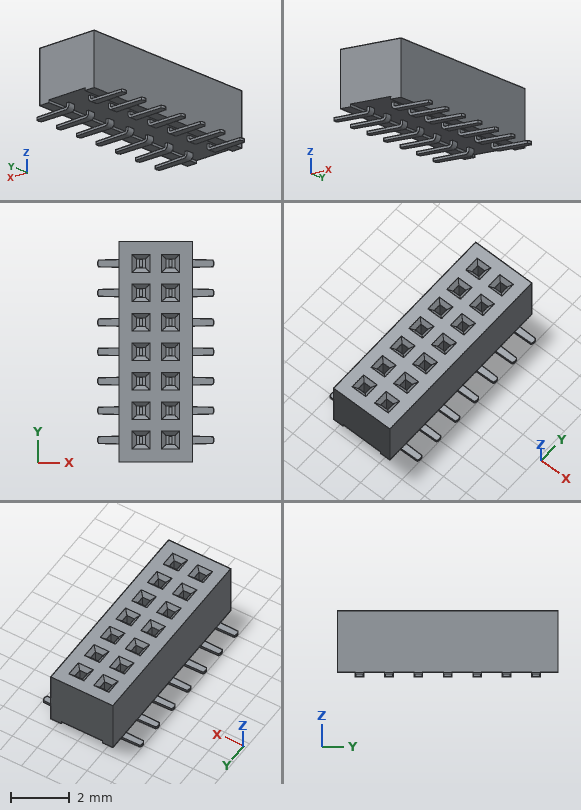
import cadquery as cq
import math

BODY_LENGTH = 7.5
ROW_COUNT = 7
END_MARGIN = 0.75
PITCH = (BODY_LENGTH - 2 * END_MARGIN) / (ROW_COUNT - 1)

TOP_Z = 2.25
BODY_WIDTH = 2.5
BODY_BOTTOM_Z = 0.15
RECESS_WIDTH = 1.65
RECESS_DEPTH = 0.1

SOCKET_MOUTH = 0.6
WELL_SIZE = 0.3
FUNNEL_DEPTH = 0.15
WELL_FLOOR_Z = 1.125
GROOVE_WIDTH = 0.11
GROOVE_LENGTH = 0.255
GROOVE_DEPTH = 0.04

LEG_SPAN = 3.95
LEG_THICKNESS = 0.1
LEG_ROOT_WIDTH = 0.3
LEG_TIP_WIDTH = 0.24
LEG_TIP_BULGE = 0.04
BEND_RADIUS = 0.15
LEG_EMBED = 0.075

RECESS_Z = BODY_BOTTOM_Z + RECESS_DEPTH
COLUMN_X = PITCH / 2
ROW_YS = [(i - (ROW_COUNT - 1) / 2) * PITCH for i in range(ROW_COUNT)]


def box(width, length, bottom_z, top_z):
    """Block centred on the Z axis between two heights."""
    return cq.Workplane("XY").workplane(offset=bottom_z).rect(width, length).extrude(top_z - bottom_z)


def make_housing():
    """Block with a channel along its underside, leaving two long feet."""
    housing = box(BODY_WIDTH, BODY_LENGTH, BODY_BOTTOM_Z, TOP_Z)
    return housing.cut(box(RECESS_WIDTH, BODY_LENGTH, BODY_BOTTOM_Z, RECESS_Z))


def make_socket():
    """Cutting tool for one socket, centred on the Z axis."""
    well_top = TOP_Z - FUNNEL_DEPTH
    funnel = (
        cq.Workplane("XY").workplane(offset=well_top).rect(WELL_SIZE, WELL_SIZE)
        .workplane(offset=FUNNEL_DEPTH).rect(SOCKET_MOUTH, SOCKET_MOUTH)
        .loft(ruled=True)
    )
    well = box(WELL_SIZE, WELL_SIZE, WELL_FLOOR_Z, well_top)
    groove = (
        cq.Workplane("YZ")
        .moveTo(-WELL_SIZE / 2, WELL_FLOOR_Z)
        .lineTo(WELL_SIZE / 2, WELL_FLOOR_Z)
        .lineTo(GROOVE_LENGTH / 2, WELL_FLOOR_Z - GROOVE_DEPTH)
        .lineTo(-GROOVE_LENGTH / 2, WELL_FLOOR_Z - GROOVE_DEPTH)
        .close()
        .extrude(GROOVE_WIDTH / 2, both=True)
    )
    return funnel.union(well).union(groove)


def make_leg():
    """L-shaped leg on the +X side: a stub under the housing bent outwards to a tapered foot."""
    inner_x = COLUMN_X - LEG_THICKNESS / 2
    outer_x = inner_x + LEG_THICKNESS
    bend_x = inner_x + BEND_RADIUS
    tip_x = LEG_SPAN / 2
    stub_top = RECESS_Z + LEG_EMBED
    inner_radius = BEND_RADIUS - LEG_THICKNESS
    diagonal = math.sqrt(0.5)
    profile = (
        cq.Workplane("XZ")
        .moveTo(inner_x, stub_top)
        .lineTo(inner_x, BEND_RADIUS)
        .threePointArc(
            (bend_x - BEND_RADIUS * diagonal, BEND_RADIUS * (1 - diagonal)),
            (bend_x, 0),
        )
        .lineTo(tip_x, 0)
        .lineTo(tip_x, LEG_THICKNESS)
        .lineTo(bend_x, LEG_THICKNESS)
        .threePointArc(
            (bend_x - inner_radius * diagonal, BEND_RADIUS - inner_radius * diagonal),
            (outer_x, BEND_RADIUS),
        )
        .lineTo(outer_x, stub_top)
        .close()
        .extrude(LEG_ROOT_WIDTH / 2, both=True)
    )
    plan = (
        cq.Workplane("XY")
        .moveTo(inner_x, -LEG_ROOT_WIDTH / 2)
        .lineTo(bend_x, -LEG_ROOT_WIDTH / 2)
        .lineTo(tip_x - LEG_TIP_BULGE, -LEG_TIP_WIDTH / 2)
        .threePointArc((tip_x, 0), (tip_x - LEG_TIP_BULGE, LEG_TIP_WIDTH / 2))
        .lineTo(bend_x, LEG_ROOT_WIDTH / 2)
        .lineTo(inner_x, LEG_ROOT_WIDTH / 2)
        .close()
        .extrude(stub_top)
    )
    return profile.intersect(plan)


result = make_housing()
socket = make_socket()
right_leg = make_leg()
left_leg = right_leg.mirror("YZ")
for side, leg in ((-1, left_leg), (1, right_leg)):
    for y in ROW_YS:
        result = result.cut(socket.translate((side * COLUMN_X, y, 0)))
        result = result.union(leg.translate((0, y, 0)))